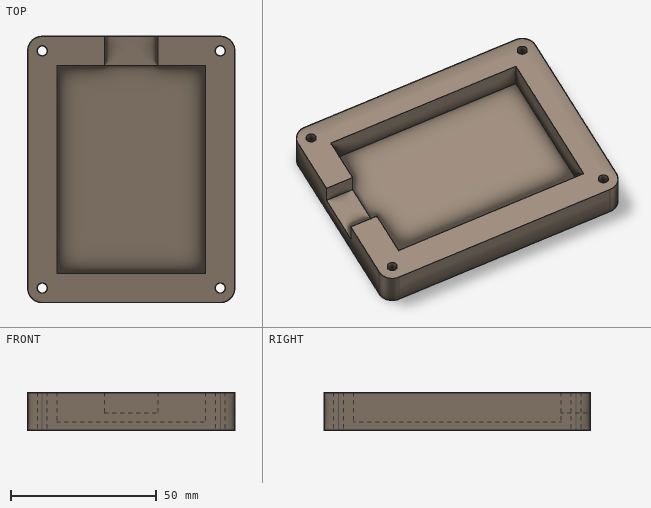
import cadquery as cq

width = 71.0
length = 91.3
height = 13.0
corner_radius = 5.0

wall = 10.0
pocket_width = width - 2 * wall
pocket_length = length - 2 * wall
pocket_depth = 10.0

notch_width = 18.25
notch_depth = 7.0

hole_diameter = 3.4
hole_spacing_x = width - 2 * corner_radius
hole_spacing_y = length - 2 * corner_radius


def make_body():
    """Rounded block standing on the XY plane."""
    block = cq.Workplane("XY").box(width, length, height, centered=(True, True, False))
    return block.edges("|Z").fillet(corner_radius)


def cut_pocket(body):
    """Sink the pocket from the top face."""
    pocket = (
        cq.Workplane("XY")
        .workplane(offset=height - pocket_depth)
        .rect(pocket_width, pocket_length)
        .extrude(pocket_depth)
    )
    return body.cut(pocket)


def cut_notch(body):
    """Open the +Y wall from the pocket to the outside."""
    notch = (
        cq.Workplane("XY")
        .workplane(offset=height - notch_depth)
        .center(0, (length - wall) / 2)
        .rect(notch_width, wall)
        .extrude(notch_depth)
    )
    return body.cut(notch)


def cut_corner_holes(body):
    """Drill one hole through each corner."""
    holes = (
        cq.Workplane("XY")
        .rect(hole_spacing_x, hole_spacing_y, forConstruction=True)
        .vertices()
        .circle(hole_diameter / 2)
        .extrude(height)
    )
    return body.cut(holes)


result = cut_corner_holes(cut_notch(cut_pocket(make_body())))